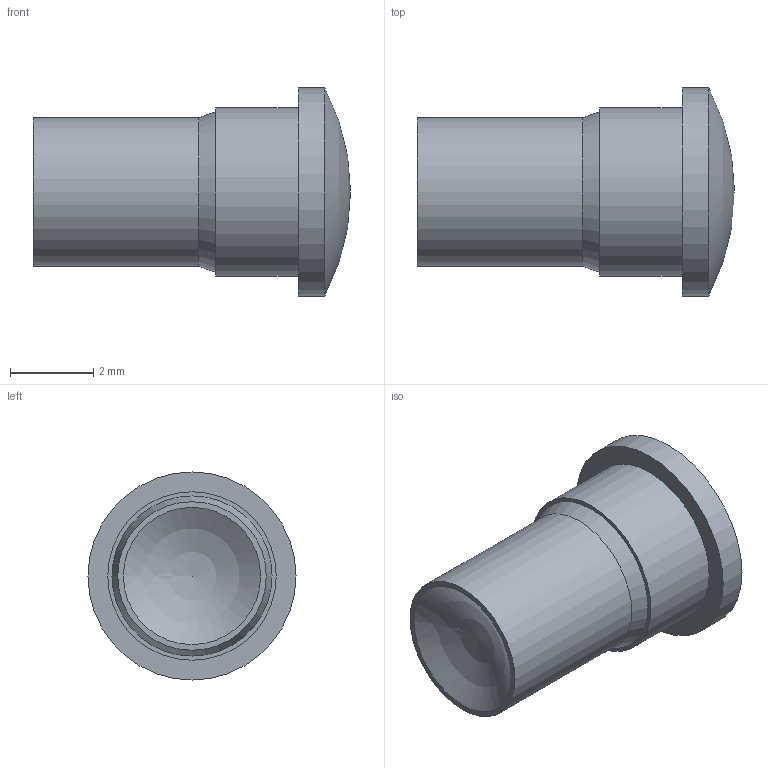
import cadquery as cq


shank_diameter = 3.57
shank_length = 3.97
dimple_diameter = 3.3
dimple_depth = 0.55

flare_length = 0.41
flare_end_diameter = 3.85

shoulder_diameter = 4.05
shoulder_length = 1.98

head_diameter = 5.0
rim_thickness = 0.64
overall_length = 7.62

flare_end_x = shank_length + flare_length
head_x = flare_end_x + shoulder_length
dome_x = head_x + rim_thickness
dome_height = overall_length - dome_x


def sphere_radius(base_diameter, height):
    """Radius of the sphere whose cap has the given base diameter and height."""
    base_radius = base_diameter / 2
    return (base_radius**2 + height**2) / (2 * height)


def make_pin():
    """Revolve the stepped half profile, with its dimple and dome arcs, about the X axis."""
    dimple_radius = sphere_radius(dimple_diameter, dimple_depth)
    dome_radius = sphere_radius(head_diameter, dome_height)
    half_profile = (
        cq.Workplane("XY")
        .moveTo(dimple_depth, 0)
        .radiusArc((0, dimple_diameter / 2), -dimple_radius)
        .lineTo(0, shank_diameter / 2)
        .lineTo(shank_length, shank_diameter / 2)
        .lineTo(flare_end_x, flare_end_diameter / 2)
        .lineTo(flare_end_x, shoulder_diameter / 2)
        .lineTo(head_x, shoulder_diameter / 2)
        .lineTo(head_x, head_diameter / 2)
        .lineTo(dome_x, head_diameter / 2)
        .radiusArc((overall_length, 0), dome_radius)
        .close()
    )
    return half_profile.revolve(360, (0, 0, 0), (1, 0, 0))


result = make_pin()